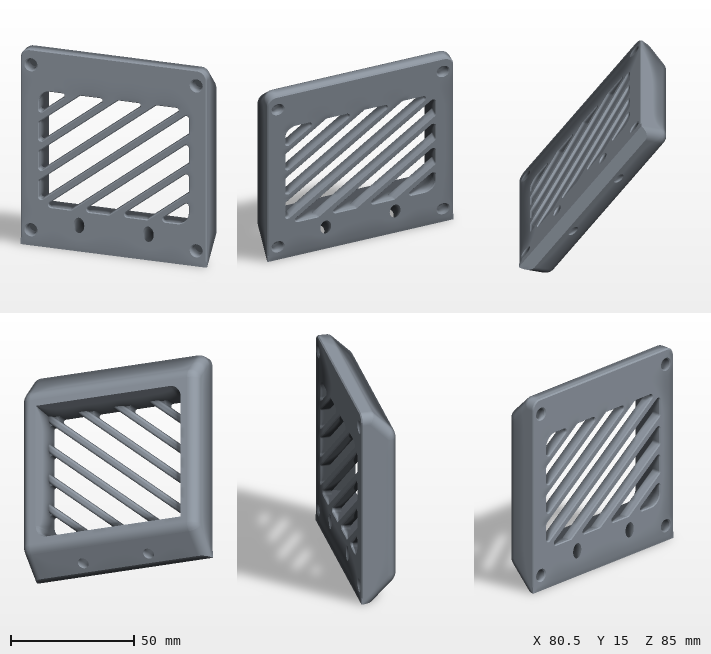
import cadquery as cq
import math

width = 80.5
depth = 15.0
height = 85.0
slope_foot = 5.2
slope_rise = depth - slope_foot
rear_blend = 5.0
side_blend = 4.0
top_blend = 2.0
edge_chamfer = 0.5
chamfer_start = 2.7

screw_spacing = 71.5
screw_diameter = 4.7
screw_depth = 5.0

lamp_diameter = 4.7
lamp_spacing = 30.0
lamp_height = 11.3

vent_width = 64.7
vent_height = 49.7
vent_rear_width = 66.55
vent_rear_height = 55.85
vent_corner = 5.0
vent_chamfer = 0.4
rib_thickness = 3.0
rib_pitch = 10.0
rib_depth = 5.0
rib_round = 1.0
rib_steps = range(-3, 4)
slot_corner = 1.0

centre_x = width / 2
centre_z = height / 2
rib_angle = math.atan2(vent_height, vent_width)


def box(x_range, y_range, z_range):
    """Selector for edges whose centre lies in the given ranges."""
    low, high = zip(x_range, y_range, z_range)
    return cq.selectors.BoxSelector(low, high)


def near(x, y, z, reach=0.4):
    """Selector for edges whose centre lies close to a point."""
    return box((x - reach, x + reach), (y - reach, y + reach), (z - reach, z + reach))


def make_body():
    """Block with 45 degree slopes above and below the rear face, and rounded sides."""
    body = (
        cq.Workplane("YZ")
        .polyline([
            (0, 0),
            (slope_foot, 0),
            (depth, slope_rise),
            (depth, height - slope_rise),
            (slope_foot, height),
            (0, height),
        ])
        .close()
        .extrude(width)
    )
    rear_corners = near(centre_x, depth, slope_rise) + near(centre_x, depth, height - slope_rise)
    body = body.edges(rear_corners).fillet(rear_blend)
    body = body.faces("<X or >X").edges("not(<Y or <Z)").fillet(side_blend)
    return body.edges(near(centre_x, slope_foot, height)).fillet(top_blend)


def chamfer_front_edge(body):
    """Chamfer the front edge along the top and down both sides, ending above the bottom."""
    chamfered = body.faces("<Y").edges("not <Z").chamfer(edge_chamfer)
    foot = body.intersect(cq.Workplane("XY").box(width, depth, chamfer_start, centered=False))
    return chamfered.union(foot)


def vent_size(y):
    """Width and height of the vent opening at a depth y; its walls flare evenly to the rear face."""
    share = y / depth
    return (
        vent_width + share * (vent_rear_width - vent_width),
        vent_height + share * (vent_rear_height - vent_height),
    )


def vent_space(front, rear):
    """Vent opening between two depths, without ribs; two corners off the middle rib are rounded."""
    space = (
        cq.Workplane("XZ", origin=(centre_x, front, centre_z))
        .rect(*vent_size(front))
        .workplane(offset=front - rear)
        .rect(*vent_size(rear))
        .loft(ruled=True)
    )
    middle = (front + rear) / 2
    across, upward = vent_size(middle)
    upper_left = near(centre_x - across / 2, middle, centre_z + upward / 2)
    lower_right = near(centre_x + across / 2, middle, centre_z - upward / 2)
    return space.edges(upper_left + lower_right).fillet(vent_corner)


def cut_ribs(space):
    """Take the diagonal ribs, with rounded rear edges, out of a stretch of the vent space."""
    rib = (
        cq.Workplane("XY")
        .box(2 * (vent_width + vent_height), 2 * rib_depth, rib_thickness)
        .edges("|X and >Y")
        .fillet(rib_round)
    )
    for step in rib_steps:
        placed = (
            rib.translate((0, 0, step * rib_pitch))
            .rotate((0, 0, 0), (0, 1, 0), -math.degrees(rib_angle))
            .translate((centre_x, 0, centre_z))
        )
        space = space.cut(placed)
    return space


def slot_corners(y):
    """Selector for the slot corners, where rib sides meet the vent wall at depth y."""
    across, upward = vent_size(y)
    half_width = across / 2
    half_height = upward / 2
    slope = math.tan(rib_angle)
    corners = []
    for step in rib_steps:
        rise = (step * rib_pitch + rib_thickness / 2) / math.cos(rib_angle)
        for end_x in (-half_width, half_width):
            z = max(-half_height, min(half_height, rise + slope * end_x))
            corners.append(((z - rise) / slope, z))
    corners += [(-x, -z) for x, z in corners]
    first, *others = [near(centre_x + x, y, centre_z + z) for x, z in corners]
    return sum(others, first)


def cut_vent(body):
    """Chamfered slots between the ribs, joining into one flared cavity behind them."""
    slot_depth = rib_depth - rib_round
    slots = cut_ribs(vent_space(0, slot_depth))
    slots = slots.edges(slot_corners(slot_depth / 2)).fillet(slot_corner)
    cavity = cut_ribs(vent_space(slot_depth, depth))
    body = body.cut(cavity).cut(slots)
    across = (centre_x - vent_width / 2 - 0.1, centre_x + vent_width / 2 + 0.1)
    upward = (centre_z - vent_height / 2 - 0.1, centre_z + vent_height / 2 + 0.1)
    return body.edges(box(across, (-0.1, 0.1), upward)).chamfer(vent_chamfer)


def cut_screw_holes(body):
    """Four blind holes with chamfered mouths near the corners of the front face."""
    mouth = screw_diameter + 2 * edge_chamfer
    hole = (
        cq.Workplane("XY")
        .circle(screw_diameter / 2)
        .extrude(screw_depth)
        .union(cq.Workplane(cq.Solid.makeCone(mouth / 2, screw_diameter / 2, edge_chamfer)))
        .rotate((0, 0, 0), (1, 0, 0), -90)
    )
    for side in (-1, 1):
        for level in (-1, 1):
            x = centre_x + side * screw_spacing / 2
            z = centre_z + level * screw_spacing / 2
            body = body.cut(hole.translate((x, 0, z)))
    return body


def cut_lamp_holes(body):
    """Two through holes that fall at 45 degrees from the front face to the lower slope."""
    for side in (-1, 1):
        hole = (
            cq.Workplane("XY")
            .workplane(offset=-2 * depth)
            .circle(lamp_diameter / 2)
            .extrude(3 * depth)
            .rotate((0, 0, 0), (1, 0, 0), 45)
            .translate((centre_x + side * lamp_spacing / 2, 0, lamp_height))
        )
        body = body.cut(hole)
    return body


result = make_body()
result = chamfer_front_edge(result)
result = cut_vent(result)
result = cut_screw_holes(result)
result = cut_lamp_holes(result)